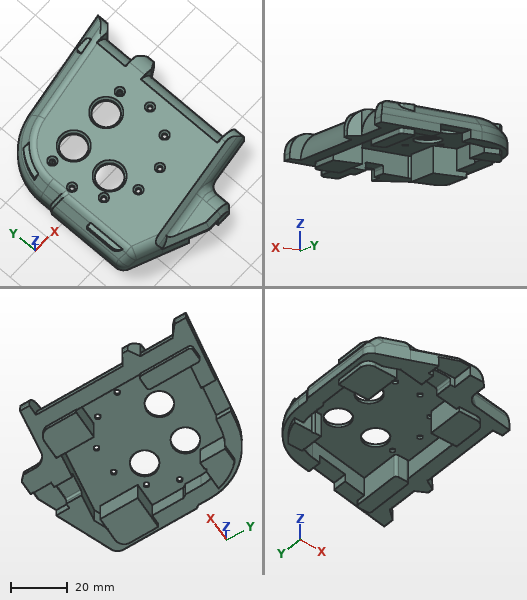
import cadquery as cq
import math

top_z = 9.95
foot_drop = 2.0
plate_thickness = 2.0

length_x = 66.0
length_y = 83.7
seam_y = 33.5
upper_west_x = 0.8
jog_y = 46.2
jog_run = 10.0
jog_rise = 16.7
nose_radius = 24.35
nose_center_y = 52.3
west_foot_y = 13.1
keel = (14.5, 7.1)
south_east_y = 14.6

wide_chamfer = 5.0
south_chamfer = 3.0
edge_round = 4.0
east_round = 7.8

recess_x = 61.7
recess_radius = 11.6
horn_slope = math.tan(math.radians(30))
south_horn_y = 18.5
middle_horn_south_y = 54.55
middle_horn_north_y = 61.9
north_horn_y = 75.4
north_horn_slope = math.tan(math.radians(40))

lug_height = top_z - south_chamfer
lug_corner_x = 31.5
lug_east_x = 44.0
lug_flare = 5.0
lug_round = 6.4
lug_chamfer = 2.0
lug_root_round = 3.7
lug_overlap = 10.0
lug_west_overlap = (1.7, 4.2)
lug_east_overlap = 1.7

cavity_inset = 6.0
foot_inset = 2.0
foot_round = 3.85
foot_small_round = 1.2
foot_west_x = (2.0, 15.6)
foot_south_east_x = (44.3, 55.9)
foot_north_east_x = (49.6, 55.9)
foot_south_y = (15.9, 31.55)
foot_north_west_y = (57.6, 68.0)
foot_north_east_y = (57.6, 79.5)

hood_span = (24.2, 36.1)
hood_height = 4.0
notch_span = (26.2, 34.05)
notch_depth_y = 25.1
notch_height = 3.0
notch_round = 0.8
north_span = (26.2, 39.5)
north_start_y = 66.9
north_height = 3.2

large_hole = 10.4
large_hole_centers = ((21.4, 55.1), (38.5, 55.1), (21.4, 38.15))
small_hole = 2.0
small_hole_centers = (
    (12.1, 56.9), (47.6, 56.9), (9.4, 45.1), (50.4, 45.1),
    (13.9, 34.1), (45.85, 34.1), (24.3, 27.1), (35.6, 27.1),
)
countersink = 0.8

south_slope = math.atan2(south_east_y - keel[1], length_x - keel[0])
nose_center_x = upper_west_x + nose_radius
tip_run = length_x - nose_center_x
tip_rise = length_y - nose_center_y
tip_distance = math.hypot(tip_run, tip_rise)
north_slope = math.atan2(tip_rise, tip_run) - math.asin(nose_radius / tip_distance)
nose_sweep = math.pi / 2 - north_slope
chamfer_z = top_z - wide_chamfer


def box(span_x, span_y, span_z):
    """Axis-aligned block between the given limits."""
    size = [high - low for low, high in (span_x, span_y, span_z)]
    corner = (span_x[0], span_y[0], span_z[0])
    return cq.Workplane("XY").box(*size, centered=False).translate(corner)


def edges_at(body, points):
    """Select the edge of the body closest to each point."""
    found = [body.edges(cq.selectors.NearestToPointSelector(point)).val() for point in points]
    return body.newObject(found)


def nose_point(angle, inset=0):
    """Point on the rounded north-west corner, the angle measured from west."""
    reach = nose_radius - inset
    return (nose_center_x - reach * math.cos(angle), nose_center_y + reach * math.sin(angle))


def south_wall_y(x):
    return keel[1] + (x - keel[0]) * math.tan(south_slope)


def north_wall_y(x):
    return length_y - (length_x - x) * math.tan(north_slope)


def upper_outline(east_x):
    """Plan of the northern part, from the seam to the sloping north wall."""
    return (
        cq.Workplane("XY")
        .moveTo(upper_west_x, seam_y)
        .lineTo(east_x, seam_y)
        .lineTo(east_x, north_wall_y(east_x))
        .lineTo(*nose_point(nose_sweep))
        .threePointArc(nose_point(nose_sweep / 2), (upper_west_x, nose_center_y))
        .close()
    )


def lower_outline(east_x):
    """Plan of the southern part; its slanted north-west side forms the jog."""
    return cq.Workplane("XY").polyline([
        (0, west_foot_y),
        keel,
        (east_x, south_wall_y(east_x)),
        (east_x, jog_y + jog_rise),
        (jog_run, jog_y + jog_rise),
        (0, jog_y),
    ]).close()


def upper_body():
    """Northern part with its chamfered and rounded rim."""
    mid_x = length_x / 2
    mid_y = (seam_y + nose_center_y) / 2
    rim = [(upper_west_x, mid_y), nose_point(nose_sweep / 2), (mid_x, north_wall_y(mid_x))]
    inner_rim = [
        (upper_west_x + wide_chamfer, mid_y),
        nose_point(nose_sweep / 2, wide_chamfer),
        (mid_x, north_wall_y(mid_x) - wide_chamfer),
    ]
    body = upper_outline(length_x).extrude(top_z)
    body = edges_at(body, [(x, y, top_z) for x, y in rim]).chamfer(wide_chamfer)
    body = edges_at(body, [(x, y, chamfer_z) for x, y in rim]).fillet(edge_round)
    return edges_at(body, [(x, y, top_z) for x, y in inner_rim]).fillet(edge_round)


def lower_body():
    """Southern part with chamfered west, jog and south edges."""
    west = (0, (west_foot_y + jog_y) / 2)
    jog = (jog_run / 2, jog_y + jog_rise / 2)
    keel_side = (keel[0] / 2, (west_foot_y + keel[1]) / 2)
    mid_x = (keel[0] + length_x) / 2
    south = (mid_x, south_wall_y(mid_x))
    body = lower_outline(length_x).extrude(top_z)
    body = edges_at(body, [(*west, top_z), (*jog, top_z)]).chamfer(wide_chamfer)
    body = edges_at(body, [(*south, top_z)]).chamfer(south_chamfer)
    rounded = [
        (*west, chamfer_z),
        (*jog, chamfer_z),
        (west[0] + wide_chamfer, west[1], top_z),
        (jog[0] + wide_chamfer, jog[1] - wide_chamfer / 2, top_z),
        (*keel_side, top_z),
        (0, west_foot_y, chamfer_z / 2),
        (wide_chamfer / 2, west_foot_y, top_z - wide_chamfer / 2),
    ]
    body = edges_at(body, rounded).fillet(edge_round)
    return edges_at(body, [(*south, top_z - south_chamfer)]).fillet(edge_round)


def east_envelope():
    """Full-length bar whose top east edge carries the large round."""
    bar = box((0, length_x), (0, length_y), (0, top_z))
    return bar.edges(">X and >Z").fillet(east_round)


def recess_cutter(south_y, north_y, south_taper, north_taper):
    """Material removed between two horns, down to a bulging inner face."""
    reach = length_x - recess_x
    start_x = recess_x - recess_radius
    plan = cq.Workplane("XY").polyline([
        (start_x, south_y),
        (recess_x, south_y),
        (length_x, south_y - reach * south_taper),
        (length_x, north_y + reach * north_taper),
        (recess_x, north_y),
        (start_x, north_y),
    ]).close().extrude(top_z)
    bulge = cq.Workplane("XZ").center(start_x, 0).circle(recess_radius).extrude(-length_y)
    return plan.cut(bulge)


def lug():
    """Hood over the southern cable exit, rolling down to the east."""
    turn = math.pi / 2 - south_slope
    tangent = lug_flare * math.tan(turn / 2)
    flare_x = lug_east_x + tangent * math.cos(south_slope)
    flare_y = south_wall_y(flare_x)
    flare_center = (lug_east_x + lug_flare, south_wall_y(lug_east_x) - tangent)
    mid_angle = math.pi - turn / 2
    flare_mid = (
        flare_center[0] + lug_flare * math.cos(mid_angle),
        flare_center[1] + lug_flare * math.sin(mid_angle),
    )
    body = (
        cq.Workplane("XY")
        .moveTo(*keel)
        .lineTo(lug_corner_x, 0)
        .lineTo(lug_east_x, 0)
        .lineTo(lug_east_x, flare_center[1])
        .threePointArc(flare_mid, (flare_x, flare_y))
        .lineTo(flare_x - lug_east_overlap, flare_y + lug_overlap)
        .lineTo(keel[0] + lug_west_overlap[0], keel[1] + lug_west_overlap[1])
        .close()
        .extrude(lug_height)
    )
    rolled = [(lug_east_x, flare_center[1] / 2, lug_height), (*flare_mid, lug_height)]
    body = edges_at(body, rolled).fillet(lug_round)
    bend = lug_round * (1 - math.sqrt(0.5))
    rim = [
        ((keel[0] + lug_corner_x) / 2, keel[1] / 2, lug_height),
        ((lug_corner_x + lug_east_x - lug_round) / 2, 0, lug_height),
        (lug_east_x - bend, 0, lug_height - bend),
    ]
    return edges_at(body, rim).chamfer(lug_chamfer)


def cavity():
    """Open underside with straight walls."""
    depth = top_z - plate_thickness
    north = upper_outline(recess_x).offset2D(-cavity_inset).extrude(depth)
    south = lower_outline(recess_x).offset2D(-cavity_inset).extrude(depth)
    return north.union(south)


def feet():
    """Four feet reaching from the plate to below the rim."""
    span_z = (-foot_drop, top_z - plate_thickness / 2)
    nose = upper_outline(length_x).offset2D(-foot_inset).extrude(top_z + foot_drop)
    nose = nose.translate((0, 0, -foot_drop))
    north_west = box(foot_west_x, foot_north_west_y, span_z).intersect(nose)
    north_east = box(foot_north_east_x, foot_north_east_y, span_z)
    north_east = north_east.edges("|Z").fillet(foot_small_round)
    south_west = box(foot_west_x, foot_south_y, span_z)
    south_west = south_west.edges("|Z and <X and <Y").fillet(foot_round)
    south_east = box(foot_south_east_x, foot_south_y, span_z)
    south_east = south_east.edges("|Z and >X and <Y").fillet(foot_round)
    return north_west.union(north_east).union(south_west).union(south_east)


def cable_openings():
    """Hood mouth and wall notch to the south, and an opening in the north wall."""
    hood = box(hood_span, (0, south_wall_y(hood_span[0])), (0, hood_height))
    notch = box(notch_span, (0, notch_depth_y), (-notch_round, notch_height))
    notch = notch.edges("|Y and >Z").fillet(notch_round)
    north = box(north_span, (north_start_y, length_y), (0, north_height))
    return hood.union(notch).union(north)


def countersunk_holes(diameter, centers):
    """Vertical through holes with a 45 degree countersink at the top."""
    radius = diameter / 2
    base = cq.Workplane("XY").workplane(offset=-foot_drop)
    cutter = base.pushPoints(centers).circle(radius).extrude(top_z + foot_drop)
    for x, y in centers:
        mouth_base = cq.Vector(x, y, top_z - countersink)
        mouth = cq.Solid.makeCone(radius, radius + countersink, countersink, mouth_base)
        cutter = cutter.union(cq.Workplane(mouth))
    return cutter


housing = upper_body().union(lower_body()).intersect(east_envelope()).union(lug())
lug_root = (lug_corner_x, south_wall_y(lug_corner_x), lug_height)
housing = edges_at(housing, [lug_root]).fillet(lug_root_round)

housing = housing.cut(recess_cutter(south_horn_y, middle_horn_south_y, 0, horn_slope))
housing = housing.cut(recess_cutter(middle_horn_north_y, north_horn_y, horn_slope, north_horn_slope))

result = housing.cut(cavity()).union(feet()).cut(cable_openings())
result = result.cut(countersunk_holes(large_hole, large_hole_centers))
result = result.cut(countersunk_holes(small_hole, small_hole_centers))